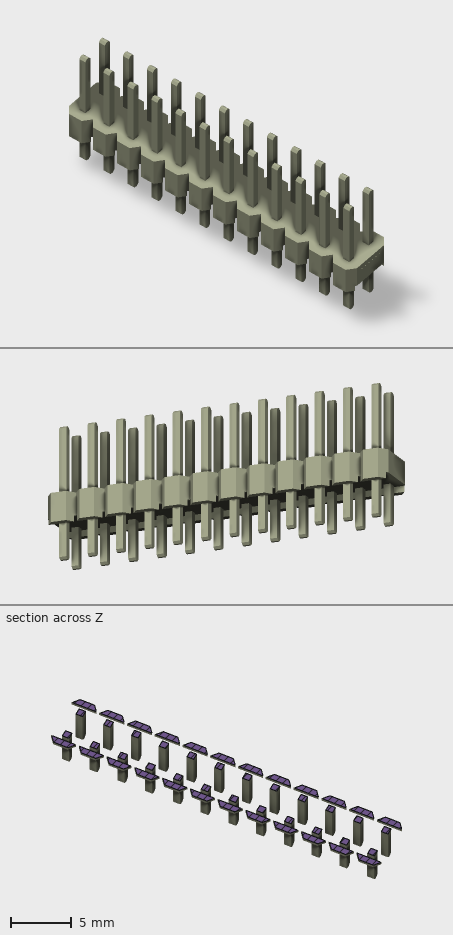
import cadquery as cq

pitch = 2.54
columns = 12
rows = 2

housing_length = columns * pitch
housing_width = 5.0
housing_height = 2.54
foot_height = 0.54
foot_depth = 0.6
corner_along = 0.6
corner_across = 0.75

pin_size = 0.64
pin_above = 6.0
pin_below = 3.0
tip_height = 0.2
tip_flat = 0.24

pad_thickness = 0.01
pad_width = 2.3
pad_height = 0.8
pad_center_z = 1.63

column_centers = [(i - (columns - 1) / 2) * pitch for i in range(columns)]
row_centers = [(j - (rows - 1) / 2) * pitch for j in range(rows)]


def make_housing():
    """Join one octagonal cell per column, so V-notches form between cells."""
    half_length = pitch / 2
    half_width = housing_width / 2
    flat_x = half_length - corner_along
    side_y = half_width - corner_across
    cell_outline = [
        (-flat_x, -half_width),
        (flat_x, -half_width),
        (half_length, -side_y),
        (half_length, side_y),
        (flat_x, half_width),
        (-flat_x, half_width),
        (-half_length, side_y),
        (-half_length, -side_y),
    ]
    cell = cq.Workplane("XY").polyline(cell_outline).close().extrude(housing_height)
    housing = cell.translate((column_centers[0], 0, 0))
    for x in column_centers[1:]:
        housing = housing.union(cell.translate((x, 0, 0)))
    return housing


def make_foot_channel():
    """Lengthwise channel under the housing that leaves a foot on each cell's sides."""
    channel_width = housing_width - 2 * foot_depth
    return cq.Workplane("XY").box(
        housing_length, channel_width, foot_height, centered=(True, True, False)
    )


def make_pin():
    """One pin on the Z axis, its tips sloped on the two Y sides."""
    bottom = -pin_below
    top = housing_height + pin_above
    side = pin_size / 2
    flat = tip_flat / 2
    profile = [
        (-flat, bottom),
        (flat, bottom),
        (side, bottom + tip_height),
        (side, top - tip_height),
        (flat, top),
        (-flat, top),
        (-side, top - tip_height),
        (-side, bottom + tip_height),
    ]
    return cq.Workplane("YZ").polyline(profile).close().extrude(pin_size / 2, both=True)


def make_end_pad():
    """Raised pad on the +X end face, rooted slightly inside the housing."""
    root_depth = 0.1
    return (
        cq.Workplane("YZ", origin=(housing_length / 2 - root_depth, 0, pad_center_z))
        .rect(pad_width, pad_height)
        .extrude(root_depth + pad_thickness)
    )


result = make_housing().cut(make_foot_channel()).union(make_end_pad())
pin = make_pin()
for pin_x in column_centers:
    for pin_y in row_centers:
        result = result.union(pin.translate((pin_x, pin_y, 0)))